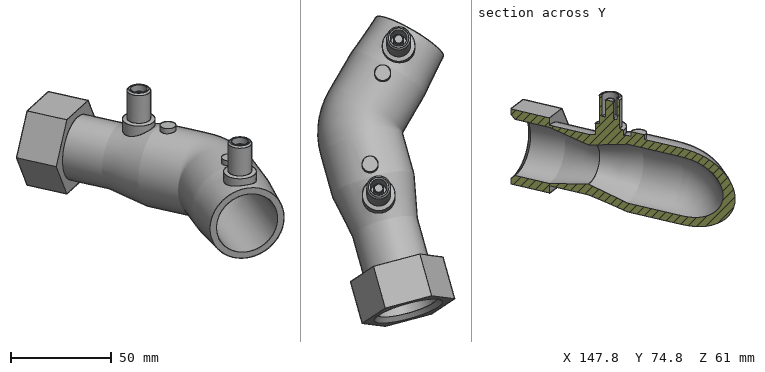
import cadquery as cq
import math

overall_length = 147.8
body_radius = 21.0
neck_radius = 16.7
outlet_radius = 19.4
bend_angle = 45
bend = math.radians(bend_angle)
inner_corner_radius = 0.1
bend_radius = body_radius + inner_corner_radius

bend_reach = (bend_radius + outlet_radius) * math.sin(bend)
stretch = (overall_length - bend_reach) / (4 + 2 * math.cos(bend))

body_bore_radius = 16.0
throat_radius = 10.6
socket_radius = 15.2
socket_mouth_radius = 17.6
socket_chamfer_depth = 2.4

nut_corner_diameter = 47.6

collar_radius = 8.1
collar_edge_height = 23.3
collar_cone_height = 0.5
post_radius = 5.9
post_top = 40.0
post_chamfer = 0.9
terminal_socket_radius = 4.1
terminal_socket_depth = 11.8
pin_radius = 2.5
pin_drop = 2.4
pin_chamfer = 0.5
button_radius = 4.0
button_top = 23.5
inlet_terminal_x = 55.8
inlet_button_x = 72.0
outlet_terminal_distance = 33.0
outlet_button_distance = 17.0

nut_end = stretch
neck_end = 2 * stretch
flare_end = 3 * stretch
bend_start = 4 * stretch
outlet_length = 2 * stretch
bend_end_x = bend_start + bend_radius * math.sin(bend)
bend_end_y = -bend_radius * (1 - math.cos(bend))
outlet_direction = cq.Vector(math.cos(bend), -math.sin(bend), 0)


def revolved_x(stations):
    """Solid of revolution about X from (x, radius) stations."""
    first_x = stations[0][0]
    last_x = stations[-1][0]
    outline = [(first_x, 0)] + stations + [(last_x, 0)]
    return cq.Workplane("XY").polyline(outline).close().revolve(360, (0, 0), (1, 0))


def elbow(radius):
    """Round bend from the straight body towards -Y."""
    return (
        cq.Workplane("YZ", origin=(bend_start, 0, 0))
        .circle(radius)
        .revolve(bend_angle, (-bend_radius, 1.5), (-bend_radius, -1.5))
    )


def to_outlet(shape):
    """Move a shape built along +X onto the outlet axis."""
    return shape.rotate((0, 0, 0), (0, 0, 1), -bend_angle).translate((bend_end_x, bend_end_y, 0))


def outlet_point(distance):
    """Plan position on the outlet axis at a distance from the elbow."""
    return (
        bend_end_x + distance * outlet_direction.x,
        bend_end_y + distance * outlet_direction.y,
    )


def upright(point, radius, top):
    """Vertical cylinder rising from the tube axis."""
    return cq.Workplane("XY").center(*point).circle(radius).extrude(top)


def terminal(point):
    """Collar with a sloping shoulder, and hollow post with a contact pin in its socket."""
    post = upright(point, post_radius, post_top).faces(">Z").chamfer(post_chamfer)
    socket = (
        cq.Workplane("XY", origin=(0, 0, post_top))
        .center(*point)
        .circle(terminal_socket_radius)
        .extrude(-terminal_socket_depth)
    )
    pin = upright(point, pin_radius, post_top - pin_drop).faces(">Z").chamfer(pin_chamfer)
    shoulder = cq.Solid.makeCone(
        collar_radius, post_radius, collar_cone_height, pnt=cq.Vector(*point, collar_edge_height)
    )
    collar = upright(point, collar_radius, collar_edge_height).union(cq.Workplane(shoulder))
    return collar.union(post).cut(socket).union(pin)


nut = cq.Workplane("YZ").polygon(6, nut_corner_diameter).extrude(nut_end)
inlet = revolved_x([
    (0, neck_radius),
    (neck_end, neck_radius),
    (flare_end, body_radius),
    (bend_start, body_radius),
])
outlet = revolved_x([
    (0, body_radius),
    (stretch, body_radius),
    (outlet_length, outlet_radius),
])
result = nut.union(inlet).union(elbow(body_radius)).union(to_outlet(outlet))

for position in [(inlet_terminal_x, 0), outlet_point(outlet_terminal_distance)]:
    result = result.union(terminal(position))
for position in [(inlet_button_x, 0), outlet_point(outlet_button_distance)]:
    result = result.union(upright(position, button_radius, button_top))

inlet_bore = revolved_x([
    (0, socket_mouth_radius),
    (socket_chamfer_depth, socket_radius),
    (nut_end, socket_radius),
    (neck_end, throat_radius),
    (flare_end, body_bore_radius),
    (bend_start, body_bore_radius),
])
outlet_bore = revolved_x([(0, body_bore_radius), (outlet_length, body_bore_radius)])
result = result.cut(inlet_bore).cut(elbow(body_bore_radius)).cut(to_outlet(outlet_bore))